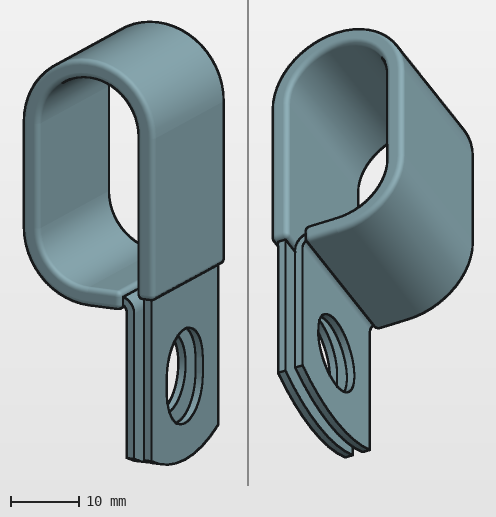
import cadquery as cq
import math


loop_inner_radius = 7.9375
strap_thickness = 1.21
cushion_thickness = 0.79875
cushion_width = 23.8125
loop_straight = 15.875
cushion_foot_end = 5.36
leg_gap = 1.5875
total_height = 62.33
bend_inner_radius = 1.22
tip_rise = 2.56
hole_diameter = 11.90625
slot_extra_length = 2.38125
hole_to_tip = 12.7
overlap = 1.0

loop_outer_radius = loop_inner_radius + strap_thickness + 2 * cushion_thickness
strap_inner_radius = loop_inner_radius + cushion_thickness
strap_outer_radius = strap_inner_radius + strap_thickness
strap_width = cushion_width - 2 * cushion_thickness
lower_centre_z = -loop_straight
strap_foot_top = lower_centre_z - strap_inner_radius
strap_foot_bottom = lower_centre_z - strap_outer_radius
cushion_side_end = strap_foot_top
tip_z = loop_outer_radius - total_height
tip_corner_z = tip_z + tip_rise
hole_z = tip_z + hole_to_tip
bent_leg_right = strap_inner_radius - leg_gap
bent_leg_left = bent_leg_right - strap_thickness
bend_outer_radius = bend_inner_radius + strap_thickness
bend_centre_x = bent_leg_left - bend_inner_radius
bend_centre_z = strap_foot_bottom - bend_inner_radius
leg_gap_middle = strap_inner_radius - leg_gap / 2

diagonal = math.sqrt(0.5)
tolerance = 1e-6


def extrude_centred(profile, width):
    """Extrude an XZ profile symmetrically along Y."""
    return profile.extrude(width / 2, both=True)


def is_band_end(edge):
    """Tell whether an edge along Y borders one of the cushion's two end faces."""
    centre = edge.Center()
    on_foot_end = math.isclose(centre.x, cushion_foot_end, abs_tol=tolerance)
    on_side_end = centre.x > 0 and math.isclose(centre.z, cushion_side_end, abs_tol=tolerance)
    return on_foot_end or on_side_end


def make_cushion():
    """Open loop with every edge rounded, leaving flats as wide as the strap is thick."""
    inner = loop_inner_radius
    outer = loop_outer_radius
    inner_mid = inner * diagonal
    outer_mid = outer * diagonal
    profile = (
        cq.Workplane("XZ")
        .moveTo(outer, cushion_side_end)
        .lineTo(outer, 0)
        .threePointArc((0, outer), (-outer, 0))
        .lineTo(-outer, lower_centre_z)
        .threePointArc((-outer_mid, lower_centre_z - outer_mid), (0, lower_centre_z - outer))
        .lineTo(cushion_foot_end, lower_centre_z - outer)
        .lineTo(cushion_foot_end, lower_centre_z - inner)
        .lineTo(0, lower_centre_z - inner)
        .threePointArc((-inner_mid, lower_centre_z - inner_mid), (-inner, lower_centre_z))
        .lineTo(-inner, 0)
        .threePointArc((0, inner), (inner, 0))
        .lineTo(inner, cushion_side_end)
        .close()
    )
    band = extrude_centred(profile, cushion_width)
    rim_edges = band.faces("<Y or >Y").edges()
    end_edges = band.edges("|Y").filter(is_band_end)
    return rim_edges.add(end_edges).fillet(cushion_thickness)


def make_leg_outline():
    """Block along X whose YZ shape gives both legs their width and rounded tip."""
    half_width = strap_width / 2
    return (
        cq.Workplane("YZ")
        .moveTo(-half_width, 0)
        .lineTo(-half_width, tip_corner_z)
        .threePointArc((0, tip_z), (half_width, tip_corner_z))
        .lineTo(half_width, 0)
        .close()
        .extrude(loop_outer_radius)
    )


def make_straight_leg():
    """Leg that continues the +X side of the loop straight down, with a slot long in Z."""
    top = cushion_side_end + overlap
    profile = (
        cq.Workplane("XZ")
        .moveTo(strap_inner_radius, top)
        .lineTo(strap_outer_radius, top)
        .lineTo(strap_outer_radius, tip_z)
        .lineTo(strap_inner_radius, tip_z)
        .close()
    )
    slot = (
        cq.Workplane("YZ", origin=(leg_gap_middle, 0, hole_z))
        .slot2D(hole_diameter + slot_extra_length, hole_diameter, 90)
        .extrude(loop_outer_radius)
    )
    return extrude_centred(profile, strap_width).intersect(make_leg_outline()).cut(slot)


def make_bent_leg():
    """Leg that leaves the lower side of the loop and bends downward, with a round hole."""
    inner_offset = bend_inner_radius * diagonal
    inner_mid = (bend_centre_x + inner_offset, bend_centre_z + inner_offset)
    outer_offset = bend_outer_radius * diagonal
    outer_mid = (bend_centre_x + outer_offset, bend_centre_z + outer_offset)
    start_x = bend_centre_x - overlap
    profile = (
        cq.Workplane("XZ")
        .moveTo(start_x, strap_foot_top)
        .lineTo(bend_centre_x, strap_foot_top)
        .threePointArc(outer_mid, (bent_leg_right, bend_centre_z))
        .lineTo(bent_leg_right, tip_z)
        .lineTo(bent_leg_left, tip_z)
        .lineTo(bent_leg_left, bend_centre_z)
        .threePointArc(inner_mid, (bend_centre_x, strap_foot_bottom))
        .lineTo(start_x, strap_foot_bottom)
        .close()
    )
    hole = (
        cq.Workplane("YZ", origin=(0, 0, hole_z))
        .circle(hole_diameter / 2)
        .extrude(leg_gap_middle)
    )
    return extrude_centred(profile, strap_width).intersect(make_leg_outline()).cut(hole)


result = make_cushion().union(make_straight_leg()).union(make_bent_leg())